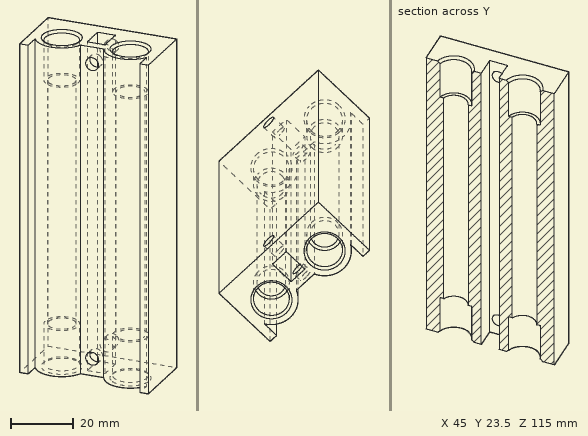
import cadquery as cq

WIDTH = 45.0
DEPTH = 23.5
LENGTH = 115.0
BACK = DEPTH / 2

LEG_THICKNESS = 3.0
WEB_DEPTH = 16.8

TUBE_SPACING = 24.0
TUBE_RADIUS = 8.6
BORE_TO_BACK = 13.5
TUBE_Y = BACK - BORE_TO_BACK
TUBE_CENTRES = [(-TUBE_SPACING / 2, TUBE_Y), (TUBE_SPACING / 2, TUBE_Y)]

BORE_DIAMETER = 9.2
PORT_DIAMETER = 11.5
PORT_DEPTH = 15.0
PORT_CHAMFER = 0.86

PASSAGE_WIDTH = 6.2
PASSAGE_DEPTH = 8.5
PASSAGE_TO_BACK = 5.0

MOUNT_DIAMETER = 4.5
MOUNT_TO_END = 6.0


def make_body():
    """Block with an open front channel, partly refilled by the two tubes."""
    block = cq.Workplane("XY").box(WIDTH, DEPTH, LENGTH)
    channel_depth = DEPTH - WEB_DEPTH
    channel = (
        cq.Workplane("XY")
        .box(WIDTH - 2 * LEG_THICKNESS, channel_depth, LENGTH)
        .translate((0, (channel_depth - DEPTH) / 2, 0))
    )
    tubes = (
        cq.Workplane("XY")
        .workplane(offset=-LENGTH / 2)
        .pushPoints(TUBE_CENTRES)
        .circle(TUBE_RADIUS)
        .extrude(LENGTH)
    )
    return block.cut(channel.cut(tubes))


def make_bore(x, y):
    """Stepped bore along Z, revolved from its half section."""
    end = LENGTH / 2
    bore_radius = BORE_DIAMETER / 2
    port_radius = PORT_DIAMETER / 2
    mouth_radius = port_radius + PORT_CHAMFER
    upper_section = [
        (bore_radius, 0),
        (bore_radius, end - PORT_DEPTH),
        (port_radius, end - PORT_DEPTH),
        (port_radius, end - PORT_CHAMFER),
        (mouth_radius, end),
        (0, end),
    ]
    upper_half = (
        cq.Workplane("XZ")
        .moveTo(0, 0)
        .polyline(upper_section, includeCurrent=True)
        .close()
        .revolve(360, (0, 0), (0, 1))
    )
    bore = upper_half.union(upper_half.mirror("XY"))
    return bore.translate((x, y, 0))


def make_passage():
    """Rectangular passage along the full length."""
    centre_y = BACK - PASSAGE_TO_BACK - PASSAGE_DEPTH / 2
    return cq.Workplane("XY").box(PASSAGE_WIDTH, PASSAGE_DEPTH, LENGTH).translate((0, centre_y, 0))


def make_mounting_holes():
    """One hole along Y near each end of the web."""
    height = LENGTH / 2 - MOUNT_TO_END
    return (
        cq.Workplane("XZ")
        .pushPoints([(0, -height), (0, height)])
        .circle(MOUNT_DIAMETER / 2)
        .extrude(DEPTH / 2, both=True)
    )


result = make_body().cut(make_passage()).cut(make_mounting_holes())
for bore_x, bore_y in TUBE_CENTRES:
    result = result.cut(make_bore(bore_x, bore_y))